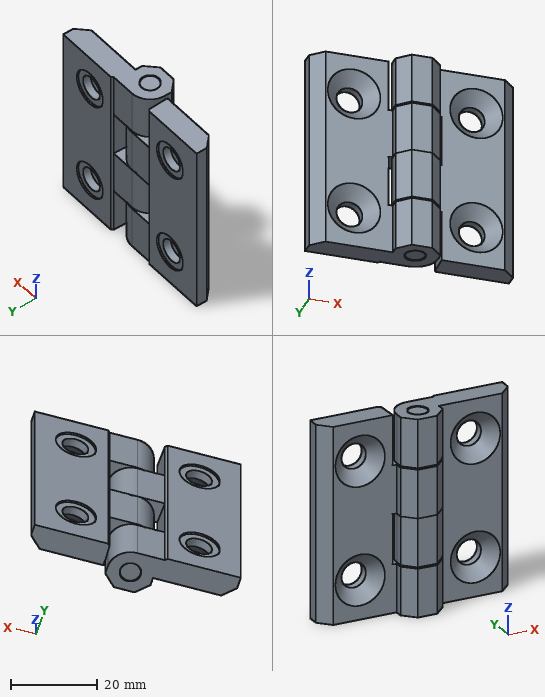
import cadquery as cq

height = 50.0
middle_z = height / 2

half_width = 25.0
plate_thickness = 6.0
edge_chamfer = 3.0

knuckle_radius = 5.5
knuckle_front_y = -5.0
knuckle_chamfer = 3.0
knuckle_gap = 0.4
knuckle_length = (middle_z - knuckle_gap) / 2
collar_diameter = 6.0

slot_front_x = 6.5
slot_wall_draft = 0.2
slot_back_x = slot_front_x + slot_wall_draft
slot_length = knuckle_length + knuckle_gap

back_relief = plate_thickness - knuckle_radius

screw_x = 15.0
screw_spacing = 30.0
screw_diameter = 6.3
countersink_diameter = 12.9
countersink_angle = 90.0
back_recess_diameter = 9.8
back_recess_depth = 0.5

pin_hole_diameter = 5.0
pin_diameter = 4.8
pin_end_recess = 0.2


def leaf_blank():
    """Right leaf before machining: plate and knuckle section over the full height."""
    chamfer_start_y = knuckle_front_y + knuckle_chamfer
    knuckle_flat_half = knuckle_radius - knuckle_chamfer
    return (
        cq.Workplane("XY")
        .moveTo(0, knuckle_radius)
        .lineTo(slot_back_x, knuckle_radius)
        .lineTo(slot_back_x + back_relief, plate_thickness)
        .lineTo(half_width, plate_thickness)
        .lineTo(half_width, edge_chamfer)
        .lineTo(half_width - edge_chamfer, 0)
        .lineTo(knuckle_radius, 0)
        .lineTo(knuckle_radius, chamfer_start_y)
        .lineTo(knuckle_flat_half, knuckle_front_y)
        .lineTo(-knuckle_flat_half, knuckle_front_y)
        .lineTo(-knuckle_radius, chamfer_start_y)
        .lineTo(-knuckle_radius, 0)
        .radiusArc((0, knuckle_radius), knuckle_radius)
        .close()
        .extrude(height)
    )


def knuckle_slot(bottom_z):
    """Clearance for one knuckle of the opposite leaf, with a drafted side wall."""
    return (
        cq.Workplane("XY", origin=(0, 0, bottom_z))
        .moveTo(-knuckle_radius, knuckle_front_y)
        .lineTo(slot_front_x, knuckle_front_y)
        .lineTo(slot_front_x, 0)
        .lineTo(slot_back_x, knuckle_radius)
        .lineTo(-knuckle_radius, knuckle_radius)
        .close()
        .extrude(slot_length)
    )


def spacer_collar():
    """Round boss under the top knuckle that fills the gap to the knuckle below it."""
    bottom_z = middle_z + knuckle_length
    return cq.Workplane("XY", origin=(0, 0, bottom_z)).circle(collar_diameter / 2).extrude(knuckle_gap)


def cut_screw_holes(leaf):
    """Two countersunk holes, each opening into a shallow round recess in the back face."""
    back_recesses = (
        cq.Workplane("XZ", origin=(screw_x, plate_thickness, middle_z))
        .rarray(0.5, screw_spacing, 1, 2)
        .circle(back_recess_diameter / 2)
        .extrude(back_recess_depth)
    )
    return (
        leaf.copyWorkplane(cq.Workplane("XZ", origin=(screw_x, 0, middle_z)))
        .rarray(0.5, screw_spacing, 1, 2)
        .cskHole(screw_diameter, countersink_diameter, countersink_angle)
        .cut(back_recesses)
    )


def make_leaf():
    """Right leaf: a slot below each of its two knuckles, which end at full and at half height."""
    leaf = leaf_blank()
    for slot_bottom_z in (0, middle_z):
        leaf = leaf.cut(knuckle_slot(slot_bottom_z))
    leaf = leaf.union(spacer_collar())
    pin_hole = cq.Workplane("XY").circle(pin_hole_diameter / 2).extrude(height)
    return cut_screw_holes(leaf.cut(pin_hole)).solids()


def make_pin():
    """Plain pin, set slightly below both ends of the knuckles."""
    return (
        cq.Workplane("XY", origin=(0, 0, pin_end_recess))
        .circle(pin_diameter / 2)
        .extrude(height - 2 * pin_end_recess)
    )


right_leaf = make_leaf()
left_leaf = right_leaf.rotate((0, 0, middle_z), (0, 1, middle_z), 180)
pin = make_pin()

result = cq.Compound.makeCompound([right_leaf.val(), left_leaf.val(), pin.val()])